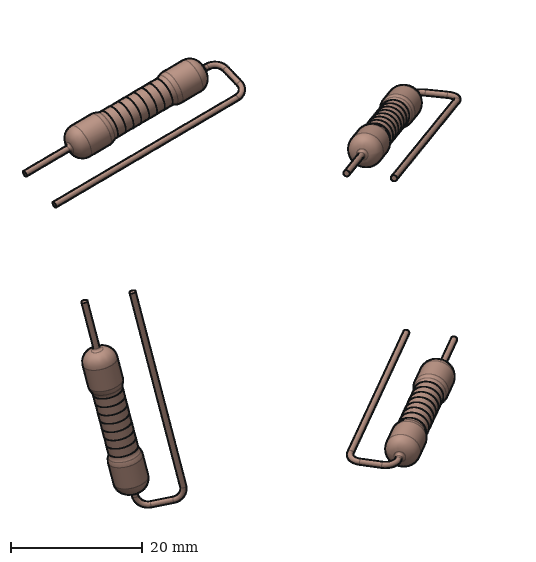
import cadquery as cq
import math

wire_diameter = 1.0
wire_radius = wire_diameter / 2
bend_radius = 2.0
neck_to_bend = 0.45
lead_pitch = 7.5
overall_length = 37.1

cap_radius = 5.5 / 2
core_radius = 4.67 / 2
band_radius = 4.7 / 2
band_count = 7
core_half_length = 5.2
band_width = 2 * core_half_length / band_count
shoulder_length = 1.6
cap_length = 3.8
dome_radius = 2.0
neck_length = 0.45

cap_start = core_half_length + shoulder_length
cap_end = cap_start + cap_length
dome_end = cap_end + dome_radius
neck_end = dome_end + neck_length
bend_start = neck_end + neck_to_bend
loop_top = bend_start + bend_radius
lead_tip = loop_top + wire_radius - overall_length


def make_cap():
    """Revolved end cap at +Y, from the core shoulder out to the wire neck."""
    shoulder_middle = (core_half_length + cap_start) / 2
    middle_radius = (core_radius + cap_radius) / 2

    step = cap_radius - core_radius
    shoulder_arc_radius = (shoulder_length ** 2 + step ** 2) / (4 * step)
    half_angle = math.asin(shoulder_length / 2 / shoulder_arc_radius) / 2

    def shoulder_point(side):
        rise = step / 2 - shoulder_arc_radius * (1 - math.cos(half_angle))
        run = shoulder_length / 2 - shoulder_arc_radius * math.sin(half_angle)
        return (middle_radius + side * rise, shoulder_middle + side * run)

    dome_centre_x = cap_radius - dome_radius
    neck_rise = neck_end - cap_end
    centre_offset = dome_centre_x - wire_radius
    neck_radius = (neck_rise ** 2 + centre_offset ** 2 - dome_radius ** 2) / (
        2 * (dome_radius + centre_offset)
    )
    neck_centre_x = wire_radius + neck_radius
    tangent_angle = math.atan2(neck_rise, neck_centre_x - dome_centre_x)

    def dome_point(angle):
        return (dome_centre_x + dome_radius * math.cos(angle), cap_end + dome_radius * math.sin(angle))

    def neck_point(angle):
        return (neck_centre_x - neck_radius * math.cos(angle), neck_end - neck_radius * math.sin(angle))

    return (
        cq.Workplane("XY")
        .moveTo(0, core_half_length)
        .lineTo(core_radius, core_half_length)
        .threePointArc(shoulder_point(-1), (middle_radius, shoulder_middle))
        .threePointArc(shoulder_point(1), (cap_radius, cap_start))
        .lineTo(cap_radius, cap_end)
        .threePointArc(dome_point(tangent_angle / 2), dome_point(tangent_angle))
        .threePointArc(neck_point(tangent_angle / 2), (wire_radius, neck_end))
        .lineTo(0, neck_end)
        .close()
        .revolve(360, (0, 0), (0, 1))
    )


def make_core():
    """Banded core: alternate sections are slightly raised colour bands."""
    core = (
        cq.Workplane("XZ", origin=(0, core_half_length, 0))
        .circle(core_radius)
        .extrude(2 * core_half_length)
    )
    for index in range(0, band_count, 2):
        band_top = core_half_length - index * band_width
        band = cq.Workplane("XZ", origin=(0, band_top, 0)).circle(band_radius).extrude(band_width)
        core = core.union(band)
    return core


def make_wire():
    """Wire from the lower tip through the body and back down beside it."""
    bend_offset = bend_radius * (1 - math.sqrt(0.5))
    path = (
        cq.Workplane("XY")
        .moveTo(0, lead_tip)
        .lineTo(0, bend_start)
        .threePointArc((bend_offset, loop_top - bend_offset), (bend_radius, loop_top))
        .lineTo(lead_pitch - bend_radius, loop_top)
        .threePointArc((lead_pitch - bend_offset, loop_top - bend_offset), (lead_pitch, bend_start))
        .lineTo(lead_pitch, lead_tip)
    )
    return cq.Workplane("XZ", origin=(0, lead_tip, 0)).circle(wire_radius).sweep(path)


upper_cap = make_cap()
lower_cap = upper_cap.mirror("XZ")
result = make_core().union(upper_cap).union(lower_cap).union(make_wire())